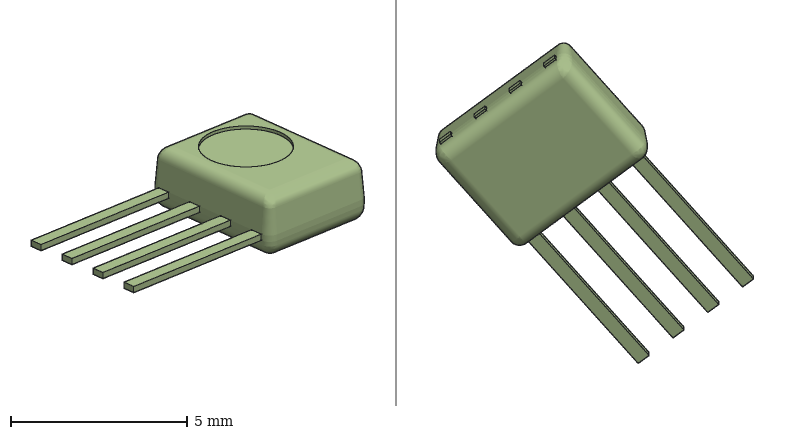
import cadquery as cq

BODY_WIDTH = 4.9
BODY_DEPTH = 3.9
BODY_HEIGHT = 1.91
CORNER_RADIUS = 0.31
DRAFT_ANGLE = 5
RIM_RADIUS = 0.4

RECESS_DIAMETER = 2.7
RECESS_DEPTH = 0.1
RECESS_X = -0.56

LEAD_COUNT = 4
LEAD_PITCH = 1.27
LEAD_WIDTH = 0.4
LEAD_THICKNESS = 0.2
LEAD_LENGTH = 8.96
LEAD_BOTTOM = 0.52
LEAD_BACK_STUB = 0.06

LEAD_TOP = LEAD_BOTTOM + LEAD_THICKNESS
LEAD_BACK_Y = BODY_DEPTH / 2 + LEAD_BACK_STUB


def body_outline(z):
    """Rounded rectangle of the parting band, at height z."""
    sketch = cq.Sketch().rect(BODY_WIDTH, BODY_DEPTH).vertices().fillet(CORNER_RADIUS)
    return cq.Workplane("XY", origin=(0, 0, z)).placeSketch(sketch)


def make_lead(x):
    """One straight lead centred on x, from the back stub to the front tip."""
    return cq.Workplane("XY", origin=(x, LEAD_BACK_Y - LEAD_LENGTH / 2, LEAD_BOTTOM)).box(
        LEAD_WIDTH, LEAD_LENGTH, LEAD_THICKNESS, centered=(True, True, False)
    )


def make_body(leads):
    """Drafted, rounded body with the top recess and a closely fitting slot for each lead."""
    band = body_outline(LEAD_BOTTOM).extrude(LEAD_THICKNESS)
    upper = body_outline(LEAD_TOP).extrude(BODY_HEIGHT - LEAD_TOP, taper=DRAFT_ANGLE)
    lower = body_outline(LEAD_BOTTOM).extrude(-LEAD_BOTTOM, taper=DRAFT_ANGLE)
    body = band.union(upper).union(lower)
    body = body.faces("<Z or >Z").edges().fillet(RIM_RADIUS)

    recess = cq.Workplane("XY", origin=(RECESS_X, 0, BODY_HEIGHT - RECESS_DEPTH))
    body = body.cut(recess.circle(RECESS_DIAMETER / 2).extrude(RECESS_DEPTH))

    for lead in leads:
        body = body.cut(lead)
    return body


first_lead_x = -LEAD_PITCH * (LEAD_COUNT - 1) / 2
leads = [make_lead(first_lead_x + i * LEAD_PITCH) for i in range(LEAD_COUNT)]
body = make_body(leads)

result = cq.Compound.makeCompound([body.val(), *[lead.val() for lead in leads]])